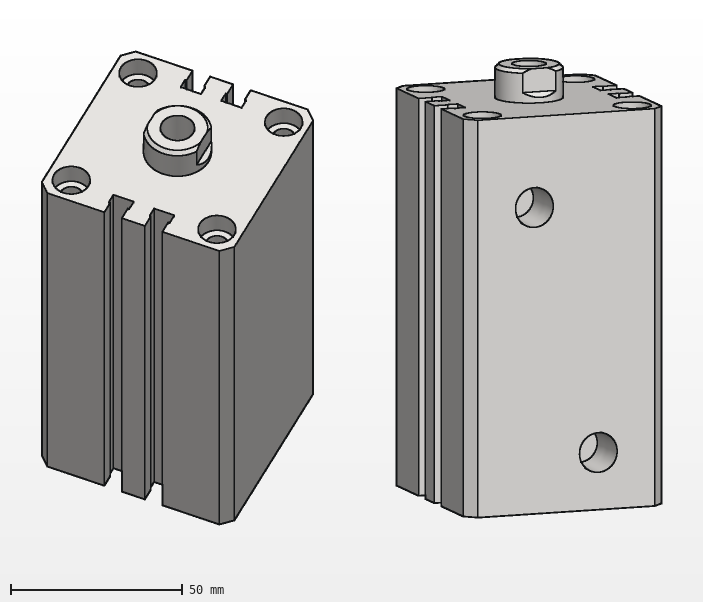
import cadquery as cq
import math

total_height = 128.0
rod_projection = 10.0
housing_width = 62.0
housing_height = total_height - rod_projection
half_width = housing_width / 2
corner_chamfer = 3.3

slot_offset = 6.5
slot_mouth_width = 5.6
slot_mouth_depth = 4.2
slot_inner_width = 6.5
slot_depth = 7.4

mount_pitch = 46.8
mount_diameter = 6.7
mount_head_diameter = 11.0
mount_head_depth = 6.4

port_mouth_diameter = 11.8
port_end_diameter = 10.9
port_depth = 15.4
port_offset = 10.0
upper_port_drop = 27.0
lower_port_height = 17.0

rod_diameter = 20.0
rod_insertion = 12.8
rod_top_chamfer = 1.2
rod_length = rod_projection + rod_insertion
flat_distance = 17.0
flat_bottom_height = 3.1
rod_bore_diameter = 10.0
rod_bore_depth = 15.4
drill_point_angle = 118.0


def slot_cutter(x_center, side):
    """Slot with a narrow mouth and a wider inner part; side is -1 for the -Y face and +1 for +Y."""
    mouth_half = slot_mouth_width / 2
    inner_half = slot_inner_width / 2
    face_y = side * half_width
    step_y = side * (half_width - slot_mouth_depth)
    floor_y = side * (half_width - slot_depth)
    return (
        cq.Workplane("XY")
        .moveTo(x_center - mouth_half, face_y)
        .lineTo(x_center - mouth_half, step_y)
        .lineTo(x_center - inner_half, step_y)
        .lineTo(x_center - inner_half, floor_y)
        .lineTo(x_center + inner_half, floor_y)
        .lineTo(x_center + inner_half, step_y)
        .lineTo(x_center + mouth_half, step_y)
        .lineTo(x_center + mouth_half, face_y)
        .close()
        .extrude(housing_height)
    )


def port_cutter(y_center, z_center):
    """Blind port that narrows from the -X face inward."""
    port = cq.Solid.makeCone(
        port_mouth_diameter / 2,
        port_end_diameter / 2,
        port_depth,
        pnt=cq.Vector(-half_width, y_center, z_center),
        dir=cq.Vector(1, 0, 0),
    )
    return cq.Workplane(obj=port)


def make_housing():
    housing = (
        cq.Workplane("XY")
        .rect(housing_width, housing_width)
        .extrude(housing_height)
        .edges("|Z")
        .chamfer(corner_chamfer)
    )

    for side in (-1, 1):
        for x_center in (-slot_offset, slot_offset):
            housing = housing.cut(slot_cutter(x_center, side))

    housing = (
        housing.faces(">Z")
        .workplane(origin=(0, 0, housing_height))
        .rect(mount_pitch, mount_pitch, forConstruction=True)
        .vertices()
        .cboreHole(mount_diameter, mount_head_diameter, mount_head_depth)
    )

    housing = housing.cut(port_cutter(port_offset, housing_height - upper_port_drop))
    housing = housing.cut(port_cutter(-port_offset, lower_port_height))

    return (
        housing.faces(">Z")
        .workplane(origin=(0, 0, housing_height))
        .hole(rod_diameter, rod_insertion)
    )


def flat_cutter(side):
    """Wrench flat on one side of the rod, ending in a 45 degree run-out at its lower end."""
    flat_x = side * flat_distance / 2
    outer_x = side * rod_diameter / 2
    run_out = (rod_diameter - flat_distance) / 2
    flat_bottom_z = housing_height + flat_bottom_height
    return (
        cq.Workplane("XZ")
        .moveTo(flat_x, total_height)
        .lineTo(flat_x, flat_bottom_z)
        .lineTo(outer_x, flat_bottom_z - run_out)
        .lineTo(outer_x, total_height)
        .close()
        .extrude(rod_diameter / 2, both=True)
    )


def rod_bore_cutter():
    """Axial blind hole with a conical drill point."""
    radius = rod_bore_diameter / 2
    shoulder_z = total_height - rod_bore_depth
    tip_z = shoulder_z - radius / math.tan(math.radians(drill_point_angle / 2))
    return (
        cq.Workplane("XZ")
        .moveTo(0, total_height)
        .lineTo(radius, total_height)
        .lineTo(radius, shoulder_z)
        .lineTo(0, tip_z)
        .close()
        .revolve(360, (0, 0), (0, 1))
    )


def make_rod():
    rod = (
        cq.Workplane("XY")
        .workplane(offset=total_height - rod_length)
        .circle(rod_diameter / 2)
        .extrude(rod_length)
        .faces(">Z")
        .chamfer(rod_top_chamfer)
    )
    for side in (-1, 1):
        rod = rod.cut(flat_cutter(side))
    return rod.cut(rod_bore_cutter())


housing = make_housing()
rod = make_rod()

result = cq.Compound.makeCompound([housing.val(), rod.val()])